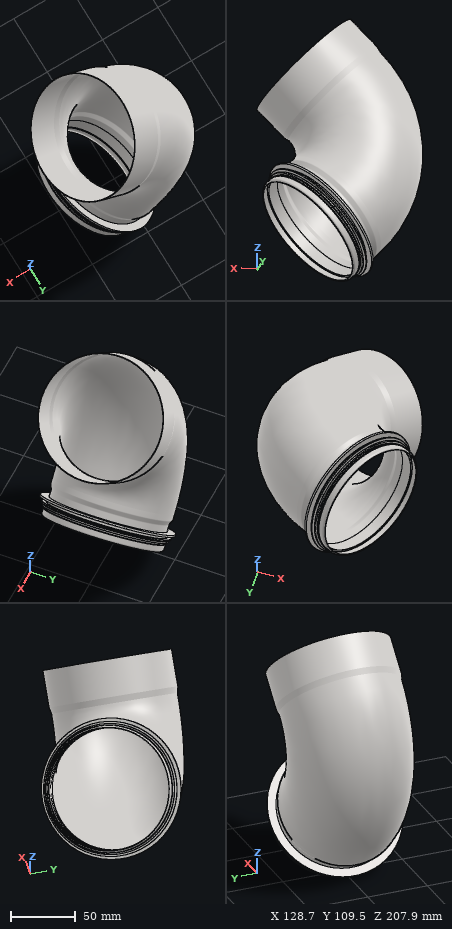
import cadquery as cq
import math

WALL = 0.52
BEND_RADIUS = 65.0
TUBE_RADIUS = 99.0 / 2
TURN = 45.0

SOCKET_RADIUS = 101.3 / 2
FLARE_LENGTH = 5.0
SOCKET_LENGTH = 34.5

SPIGOT_LENGTH = 30.4
GROOVE_RADIUS = 95.5 / 2
STEP_START = 5.0
STEP_END = 8.7
STEP_BLEND = 1.9
GROOVE_END = 24.0
CURL_RADIUS = 1.77

SEAL_START = 14.5
SEAL_BASE_RADIUS = 98.0 / 2
LIP_STARTS = (SEAL_START, 19.0)
LIP_RADII = (109.5 / 2, 104.5 / 2)
LIP_THICKNESSES = (1.7, 1.0)

BAND_RADIUS = 101.3 / 2
BAND_START = 21.0
BAND_WIDTH = 1.5


def turn_about_spigot_axis(profile):
    spun = profile.close().revolve(360, (0, 0, 0), (1, 0, 0))
    return spun.translate((0, 0, -BEND_RADIUS))


def ring(start, width, outer_radius, inner_radius):
    profile = (
        cq.Workplane("XZ")
        .moveTo(start, inner_radius)
        .lineTo(start, outer_radius)
        .lineTo(start + width, outer_radius)
        .lineTo(start + width, inner_radius)
    )
    return turn_about_spigot_axis(profile)


def place(body):
    return body.rotate((0, 0, 0), (0, 1, 0), TURN)


def make_bend():
    return (
        cq.Workplane("XY")
        .center(-BEND_RADIUS, 0)
        .circle(TUBE_RADIUS)
        .circle(TUBE_RADIUS - WALL)
        .revolve(90, (BEND_RADIUS, 0, 0), (BEND_RADIUS, -1, 0))
    )


def make_socket():
    profile = (
        cq.Workplane("XZ")
        .moveTo(TUBE_RADIUS - WALL, 0)
        .lineTo(TUBE_RADIUS, 0)
        .lineTo(SOCKET_RADIUS, FLARE_LENGTH)
        .lineTo(SOCKET_RADIUS, SOCKET_LENGTH)
        .lineTo(SOCKET_RADIUS - WALL, SOCKET_LENGTH)
        .lineTo(SOCKET_RADIUS - WALL, FLARE_LENGTH)
        .close()
    )
    return profile.revolve(360, (0, 0, 0), (0, 1, 0)).translate((-BEND_RADIUS, 0, 0))


def make_spigot_core(offset):
    step_angle = math.atan2(TUBE_RADIUS - GROOVE_RADIUS, STEP_END - STEP_START)
    shift = offset * math.tan(step_angle / 2)
    step_start = STEP_START - shift
    step_end = STEP_END - shift
    lip_radius = TUBE_RADIUS - offset
    groove_radius = GROOVE_RADIUS - offset
    groove_end = GROOVE_END + offset
    curl_start = SPIGOT_LENGTH - CURL_RADIUS
    curl = CURL_RADIUS - offset
    curl_middle = (
        curl_start + curl * math.sin(math.pi / 4),
        lip_radius - curl + curl * math.cos(math.pi / 4),
    )
    tangent = STEP_BLEND * math.tan(step_angle / 2)
    along = tangent * math.cos(step_angle)
    drop = tangent * math.sin(step_angle)
    profile = (
        cq.Workplane("XZ")
        .lineTo(0, lip_radius)
        .lineTo(step_start - tangent, lip_radius)
        .tangentArcPoint((step_start + along, lip_radius - drop), relative=False)
        .lineTo(step_end - along, groove_radius + drop)
        .tangentArcPoint((step_end + tangent, groove_radius), relative=False)
        .lineTo(groove_end, groove_radius)
        .lineTo(groove_end, lip_radius)
        .lineTo(curl_start, lip_radius)
        .threePointArc(curl_middle, (curl_start + curl, lip_radius - curl))
        .lineTo(curl_start + curl, 0)
    )
    return turn_about_spigot_axis(profile)


def make_spigot():
    hollow = make_spigot_core(WALL)
    mouth = ring(SPIGOT_LENGTH - WALL, WALL, TUBE_RADIUS - CURL_RADIUS, 0)
    return make_spigot_core(0).cut(hollow).cut(mouth)


def make_elbow():
    return place(make_bend().union(make_socket()).union(make_spigot()))


def make_seal():
    base_width = GROOVE_END - SEAL_START
    seal = ring(SEAL_START, base_width, SEAL_BASE_RADIUS, GROOVE_RADIUS)
    for start, radius, thickness in zip(LIP_STARTS, LIP_RADII, LIP_THICKNESSES):
        seal = seal.union(ring(start, thickness, radius, GROOVE_RADIUS))
    return place(seal)


def make_band():
    return place(ring(BAND_START, BAND_WIDTH, BAND_RADIUS, SEAL_BASE_RADIUS))


elbow = make_elbow()
seal = make_seal()
clamp_band = make_band()

result = cq.Compound.makeCompound([elbow.val(), seal.val(), clamp_band.val()])